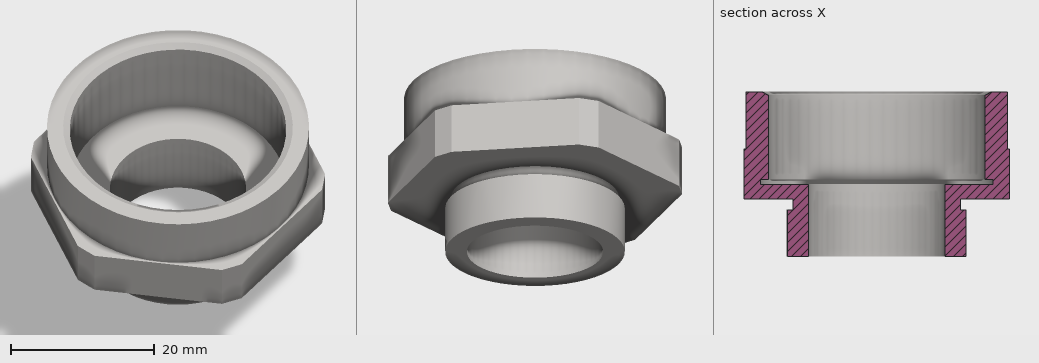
import cadquery as cq
import math

spigot_height = 6.5
neck_height = 1.5
hex_height = 7.0
collar_height = 7.95

spigot_diameter = 25.0
neck_diameter = 23.45
hex_across_flats = 37.0
hex_across_cut_corners = 41.0
collar_diameter = 36.5

bore_diameter = 19.0
socket_diameter = 30.15
socket_depth = 12.87
relief_diameter = 32.4
relief_height = 0.6
mouth_diameter = 32.0
mouth_chamfer_height = 0.55

neck_bottom = spigot_height
hex_bottom = neck_bottom + neck_height
collar_bottom = hex_bottom + hex_height
top = collar_bottom + collar_height


def cylinder(diameter, bottom, height):
    return cq.Workplane("XY").workplane(offset=bottom).circle(diameter / 2).extrude(height)


def hexagon(across_flats, turn):
    """Hexagonal prism; with no turn its corners lie on the X axis."""
    across_corners = across_flats / math.cos(math.pi / 6)
    prism = cq.Workplane("XY").workplane(offset=hex_bottom).polygon(6, across_corners).extrude(hex_height)
    return prism.rotate((0, 0, 0), (0, 0, 1), turn)


hex_collar = hexagon(hex_across_flats, 0).intersect(hexagon(hex_across_cut_corners, 30))

body = (
    cylinder(spigot_diameter, 0, spigot_height)
    .union(cylinder(neck_diameter, neck_bottom, neck_height))
    .union(hex_collar)
    .union(cylinder(collar_diameter, collar_bottom, collar_height))
)

bore = cylinder(bore_diameter, 0, top)
socket = cylinder(socket_diameter, top - socket_depth, socket_depth)
relief = cylinder(relief_diameter, top - socket_depth, relief_height)
mouth = (
    cq.Workplane("XY")
    .workplane(offset=top - mouth_chamfer_height)
    .circle(socket_diameter / 2)
    .workplane(offset=mouth_chamfer_height)
    .circle(mouth_diameter / 2)
    .loft(ruled=True)
)

result = body.cut(bore).cut(socket).cut(relief).cut(mouth)